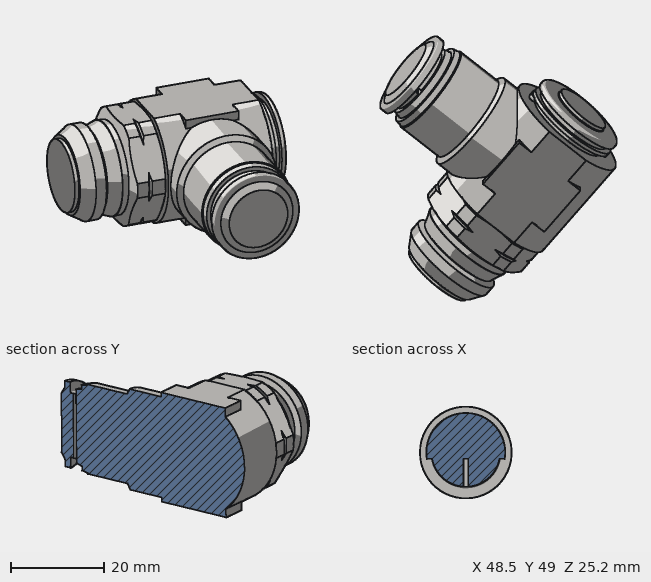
import cadquery as cq
import math

TILT = 0.4

BODY_RADIUS = 13.5
BODY_HALF_LENGTH = 12.1
FLATS_THICKNESS = 25.05
PAD_WIDTH = 17.05
PAD_LENGTH = 12.15

NUT_BOTTOM = -20.0
NUT_ACROSS_FLATS = 24.1
NUT_CORNER_RADIUS = 13.05
NUT_CHAMFER_ANGLE = 20.0
NUT_TOP_RADIUS = 11.75
NUT_GROOVE_CENTRE = -16.0
NUT_GROOVE_BOTTOM_RADIUS = 12.45
NUT_GROOVE_SLOPE = 0.65

NOSE_NECK_RADIUS = 10.45
NOSE_RADIUS = 10.6
NOSE_CONE_TOP = -21.45
NOSE_WAIST_RADIUS = 9.4
NOSE_UNDERCUT_RADIUS = 9.0
NOSE_WAIST = -24.5
NOSE_RING_TOP = -25.25
NOSE_RING_BOTTOM = -27.65
NOSE_END_CONE_RADIUS = 8.75
NOSE_END_CONE = -30.6
NOSE_TIP_RADIUS = 8.05
NOSE_TIP = -31.5

KNOB_NECK_RADIUS = 9.1
KNOB_FLANGE_RADIUS = 10.45
LOWER_FLANGE_BOTTOM = 13.25
LOWER_FLANGE_TOP = 14.05
UPPER_FLANGE_BOTTOM = 15.4
UPPER_FLANGE_TOP = 16.55
UPPER_FLANGE_FILLET = 0.65
KNOB_CAP_RADIUS = 6.12
KNOB_STEP_RADIUS = 6.25
KNOB_STEP_TOP = 16.7
KNOB_CAP_TOP = 17.5

CLIP_OUTER_RADIUS = 10.6
CLIP_THICKNESS = 0.9
CLIP_END_HEIGHT = -0.15

BRANCH_ROOT_RADIUS = 11.55
BRANCH_ROOT_END = 16.85
BRANCH_TUBE_RADIUS = 10.3
BRANCH_TUBE_START = 17.6
BRANCH_TUBE_END = 28.05
FIRST_COLLAR_START = 28.2
FIRST_COLLAR_START_RADIUS = 10.1
FIRST_COLLAR_END_RADIUS = 9.8
FIRST_COLLAR_END = 29.6
SECOND_COLLAR_START_RADIUS = 8.85
SECOND_COLLAR_END_RADIUS = 8.5
SECOND_COLLAR_END = 31.05

COLLET_NECK_RADIUS = 7.4
COLLET_NECK_FILLET = 0.45
COLLET_FLANGE_RADIUS = 9.85
COLLET_FLANGE_START = 32.55
COLLET_FLANGE_END = 34.05
COLLET_FLANGE_FILLET = 0.2
COLLET_NOSE_RADIUS = 8.35
COLLET_TIP_RADIUS = 6.75
COLLET_TIP = 35.0
SLIT_LENGTH = 0.65
SLIT_WIDTH = 1.0


def cylinder_y(radius, start, end):
    """Cylinder on the main axis between two Y positions."""
    return cq.Workplane("XZ", origin=(0, start, 0)).circle(radius).extrude(start - end)


def turned_y(points):
    """Solid of revolution about the main axis from (radius, y) points."""
    return cq.Workplane("XY").polyline(points).close().revolve(360, (0, 0, 0), (0, 1, 0))


def make_body():
    barrel = cylinder_y(BODY_RADIUS, -BODY_HALF_LENGTH, BODY_HALF_LENGTH)
    flats = cq.Workplane("XY").box(2 * BODY_RADIUS, 2 * BODY_HALF_LENGTH, FLATS_THICKNESS)
    pads = cq.Workplane("XY").box(PAD_WIDTH, PAD_LENGTH, FLATS_THICKNESS)
    return barrel.intersect(flats).union(pads)


def make_nut():
    corner_diameter = NUT_ACROSS_FLATS / math.cos(math.radians(30))
    length = -BODY_HALF_LENGTH - NUT_BOTTOM
    nut_start = cq.Workplane("XZ", origin=(0, -BODY_HALF_LENGTH, 0))
    hexagon = nut_start.polygon(6, corner_diameter).extrude(length)
    slope = math.tan(math.radians(NUT_CHAMFER_ANGLE))
    top_rim = -BODY_HALF_LENGTH - (NUT_CORNER_RADIUS - NUT_TOP_RADIUS) * slope
    bottom_rim = NUT_BOTTOM + (NUT_CORNER_RADIUS - NOSE_NECK_RADIUS) * slope
    groove_half_width = (NUT_CORNER_RADIUS - NUT_GROOVE_BOTTOM_RADIUS) * NUT_GROOVE_SLOPE
    envelope = turned_y([
        (0, -BODY_HALF_LENGTH),
        (NUT_TOP_RADIUS, -BODY_HALF_LENGTH),
        (NUT_CORNER_RADIUS, top_rim),
        (NUT_CORNER_RADIUS, NUT_GROOVE_CENTRE + groove_half_width),
        (NUT_GROOVE_BOTTOM_RADIUS, NUT_GROOVE_CENTRE),
        (NUT_CORNER_RADIUS, NUT_GROOVE_CENTRE - groove_half_width),
        (NUT_CORNER_RADIUS, bottom_rim),
        (NOSE_NECK_RADIUS, NUT_BOTTOM),
        (0, NUT_BOTTOM),
    ])
    return hexagon.intersect(envelope)


def make_nose():
    return turned_y([
        (0, NUT_BOTTOM),
        (NOSE_NECK_RADIUS, NUT_BOTTOM),
        (NOSE_NECK_RADIUS, NOSE_CONE_TOP),
        (NOSE_RADIUS, NOSE_CONE_TOP),
        (NOSE_WAIST_RADIUS, NOSE_WAIST),
        (NOSE_UNDERCUT_RADIUS, NOSE_WAIST),
        (NOSE_RADIUS, NOSE_RING_TOP),
        (NOSE_RADIUS, NOSE_RING_BOTTOM),
        (NOSE_END_CONE_RADIUS, NOSE_END_CONE),
        (NOSE_TIP_RADIUS, NOSE_END_CONE),
        (NOSE_TIP_RADIUS, NOSE_TIP),
        (0, NOSE_TIP),
    ])


def make_knob():
    neck = cylinder_y(KNOB_NECK_RADIUS, BODY_HALF_LENGTH, UPPER_FLANGE_BOTTOM)
    lower_flange = cylinder_y(KNOB_FLANGE_RADIUS, LOWER_FLANGE_BOTTOM, LOWER_FLANGE_TOP)
    upper_flange = cylinder_y(KNOB_FLANGE_RADIUS, UPPER_FLANGE_BOTTOM, UPPER_FLANGE_TOP)
    upper_flange = upper_flange.faces(">Y").edges().fillet(UPPER_FLANGE_FILLET)
    cap = cylinder_y(KNOB_CAP_RADIUS, UPPER_FLANGE_TOP, KNOB_CAP_TOP)
    step = cylinder_y(KNOB_STEP_RADIUS, UPPER_FLANGE_TOP, KNOB_STEP_TOP)
    return neck.union(lower_flange).union(upper_flange).union(step).union(cap)


def make_clip():
    """Half ring over the +Z side with rounded ends."""
    top = BODY_HALF_LENGTH + CLIP_THICKNESS
    ring = cylinder_y(CLIP_OUTER_RADIUS, BODY_HALF_LENGTH, top)
    upper_half = (
        cq.Workplane("XY")
        .box(2 * CLIP_OUTER_RADIUS, CLIP_THICKNESS, CLIP_OUTER_RADIUS - CLIP_END_HEIGHT,
             centered=(True, False, False))
        .translate((0, BODY_HALF_LENGTH, CLIP_END_HEIGHT))
    )
    clip = ring.intersect(upper_half)
    end_radius = (CLIP_OUTER_RADIUS - KNOB_NECK_RADIUS) / 2
    end_offset = CLIP_OUTER_RADIUS - end_radius
    for side in (-1, 1):
        end = cylinder_y(end_radius, BODY_HALF_LENGTH, top)
        clip = clip.union(end.translate((side * end_offset, 0, CLIP_END_HEIGHT)))
    return clip


def make_branch():
    rim_fillet_start = COLLET_FLANGE_END - COLLET_FLANGE_FILLET
    diagonal = math.sqrt(0.5)
    neck_arc_middle = (
        COLLET_FLANGE_START - COLLET_NECK_FILLET * (1 - diagonal),
        COLLET_NECK_RADIUS + COLLET_NECK_FILLET * (1 - diagonal),
    )
    rim_arc_middle = (
        rim_fillet_start + COLLET_FLANGE_FILLET * diagonal,
        COLLET_FLANGE_RADIUS - COLLET_FLANGE_FILLET * (1 - diagonal),
    )
    profile = (
        cq.Workplane("XY")
        .lineTo(0, BRANCH_ROOT_RADIUS)
        .lineTo(BRANCH_ROOT_END, BRANCH_ROOT_RADIUS)
        .lineTo(BRANCH_TUBE_START, BRANCH_TUBE_RADIUS)
        .lineTo(BRANCH_TUBE_END, BRANCH_TUBE_RADIUS)
        .lineTo(FIRST_COLLAR_START, FIRST_COLLAR_START_RADIUS)
        .lineTo(FIRST_COLLAR_END, FIRST_COLLAR_END_RADIUS)
        .lineTo(FIRST_COLLAR_END, SECOND_COLLAR_START_RADIUS)
        .lineTo(SECOND_COLLAR_END, SECOND_COLLAR_END_RADIUS)
        .lineTo(SECOND_COLLAR_END, COLLET_NECK_RADIUS)
        .lineTo(COLLET_FLANGE_START - COLLET_NECK_FILLET, COLLET_NECK_RADIUS)
        .threePointArc(neck_arc_middle, (COLLET_FLANGE_START, COLLET_NECK_RADIUS + COLLET_NECK_FILLET))
        .lineTo(COLLET_FLANGE_START, COLLET_FLANGE_RADIUS)
        .lineTo(rim_fillet_start, COLLET_FLANGE_RADIUS)
        .threePointArc(rim_arc_middle, (COLLET_FLANGE_END, COLLET_FLANGE_RADIUS - COLLET_FLANGE_FILLET))
        .lineTo(COLLET_FLANGE_END, COLLET_NOSE_RADIUS)
        .lineTo(COLLET_TIP, COLLET_TIP_RADIUS)
        .lineTo(COLLET_TIP, 0)
        .close()
    )
    branch = profile.revolve(360, (0, 0, 0), (1, 0, 0))
    slit = cq.Workplane("XY").box(SLIT_LENGTH, SLIT_WIDTH, 2 * COLLET_FLANGE_RADIUS)
    return branch.cut(slit.translate((SECOND_COLLAR_END + SLIT_LENGTH / 2, 0, 0)))


fitting = make_body()
for component in (make_nut(), make_nose(), make_knob(), make_clip(), make_branch()):
    fitting = fitting.union(component)

result = fitting.rotate((0, 0, 0), (0, 1, 0), TILT)